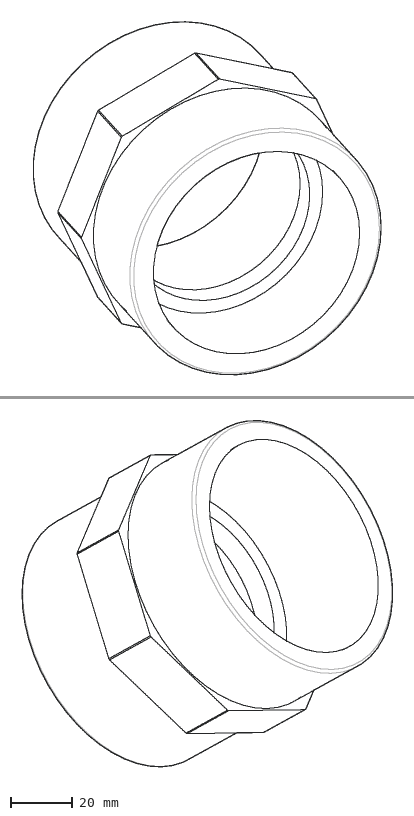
import cadquery as cq

length = 83.2
body_diameter = 89.0
end_fillet = 1.0

collar_diameter = 97.3
collar_corner_diameter = 97.5
collar_sides = 8
collar_width = 20.0

socket_diameter = 75.0
socket_depth = 44.0
far_socket_diameter = 73.0
far_socket_depth = 31.1
throat_diameter = 63.8


def cylinder(diameter, start, depth):
    """Solid cylinder along +X from the given X position."""
    return cq.Workplane("YZ", origin=(start, 0, 0)).circle(diameter / 2).extrude(depth)


def make_body():
    return cylinder(body_diameter, -length / 2, length).edges().fillet(end_fillet)


def make_collar():
    """Octagon whose sharp corners are trimmed by a cylinder."""
    start = -collar_width / 2
    octagon = (
        cq.Workplane("YZ", origin=(start, 0, 0))
        .polygon(collar_sides, collar_corner_diameter)
        .extrude(collar_width)
    )
    return octagon.intersect(cylinder(collar_diameter, start, collar_width))


def make_bores():
    throat = cylinder(throat_diameter, -length / 2, length)
    socket = cylinder(socket_diameter, -length / 2, socket_depth)
    far_socket = cylinder(far_socket_diameter, length / 2 - far_socket_depth, far_socket_depth)
    return throat.union(socket).union(far_socket)


result = make_body().union(make_collar()).cut(make_bores())